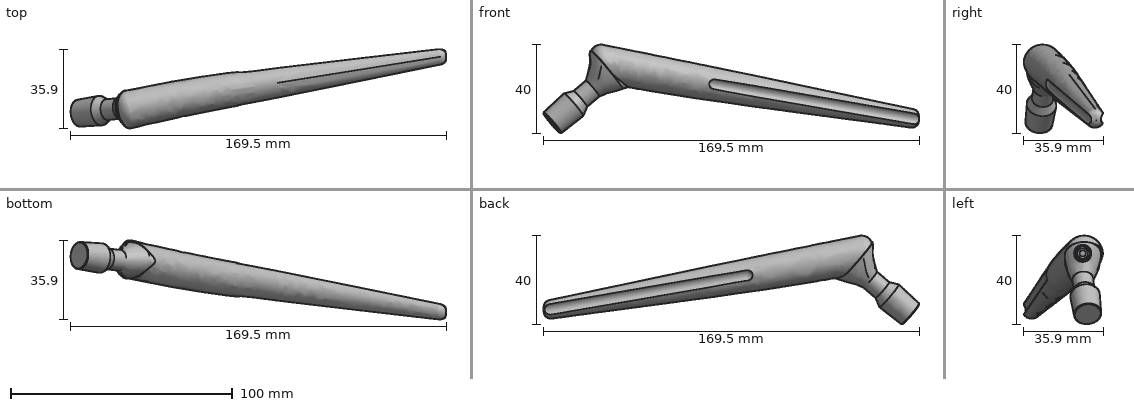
import cadquery as cq
import math


SHOULDER_CENTRE = cq.Vector(-58.9, -9.4, 11.4)
SHOULDER_RADIUS = 8.6
BODY_CENTRE = cq.Vector(-40.0, -5.35, 7.9)
BODY_RADIUS = 8.35
WAIST_CENTRE = cq.Vector(-13.0, -0.5, 3.0)
WAIST_RADIUS = 7.75
COLLAR_CENTRE = cq.Vector(-1.3, 1.1, 1.0)
COLLAR_RADIUS = 7.4
SHAFT_CENTRE = cq.Vector(8.9, 2.75, -0.8)
SHAFT_RADIUS = 7.15
TIP_CENTRE = cq.Vector(84.77, 14.9, -13.9)
TIP_RADIUS = 4.2
TIP_ROUNDING = 3.4

X_DIRECTION = cq.Vector(1, 0, 0)
SHOULDER_NORMAL = cq.Vector(1.0, 0.2, -0.08).normalized()
WAIST_NORMAL = cq.Vector(1.0, 0.13, -0.07).normalized()

CAP_LENGTH = 4.9
CAP_ROUNDING = 4.8

NECK_ORIGIN = cq.Vector(-80.9, -11.0, -15.55)
NECK_AXIS = cq.Vector(0.760, 0.093, 0.649).normalized()
NECK_UP = NECK_AXIS.cross(cq.Vector(0, 1, 0)).normalized()
SPIGOT_END_RADIUS = 6.2
SPIGOT_BASE_RADIUS = 6.75
SPIGOT_CHAMFER = 0.35
SPIGOT_LENGTH = 12.9
NECK_START = 16.9
NECK_END = 24.2
NECK_RADIUS = 4.75

FLARE_SECTIONS = (
    (NECK_END, -NECK_RADIUS, 0.0, NECK_RADIUS, NECK_RADIUS, 0.0),
    (27.8, -5.9, 1.2, 7.2, 6.4, 0.2),
    (31.0, -7.5, 3.5, 10.6, 7.6, 0.7),
    (34.5, -9.0, 6.0, 13.6, 8.3, 1.0),
)
FLARE_END = FLARE_SECTIONS[-1][0]

TRIM_RADIUS = 4 * SHOULDER_RADIUS

GUSSET_SECTION = (38.5, -10.6, 2.0, 8.0, 3.5, 0.0)

HOLE_START = cq.Vector(-70.0, -8.7, 11.9)
HOLE_STEPS = (
    (3.9, -61.5),
    (3.2, -60.0),
    (2.4, -50.0),
    (1.4, -47.0),
)

GROOVE_START_X = -9.6
GROOVE_WIDTH = 4.8
GROOVE_DEPTH = 1.2
GROOVE_OVERRUN_X = 95.0


def circle(centre, radius, normal):
    return cq.Wire.makeCircle(radius, centre, normal)


def loft(wires, ruled):
    return cq.Workplane(obj=cq.Solid.makeLoft(wires, ruled))


def rod(radius, start, finish):
    along = finish - start
    return cq.Workplane(obj=cq.Solid.makeCylinder(radius, along.Length, start, along))


def make_cap():
    end_centre = SHOULDER_CENTRE - SHOULDER_NORMAL * CAP_LENGTH
    end_edge = cq.selectors.NearestToPointSelector(end_centre.toTuple())
    return rod(SHOULDER_RADIUS, end_centre, SHOULDER_CENTRE).edges(end_edge).fillet(CAP_ROUNDING)


def make_stem():
    shoulder = circle(SHOULDER_CENTRE, SHOULDER_RADIUS, SHOULDER_NORMAL)
    body = circle(BODY_CENTRE, BODY_RADIUS, SHOULDER_NORMAL)
    waist = circle(WAIST_CENTRE, WAIST_RADIUS, WAIST_NORMAL)
    collar = circle(COLLAR_CENTRE, COLLAR_RADIUS, X_DIRECTION)
    shaft = circle(SHAFT_CENTRE, SHAFT_RADIUS, X_DIRECTION)
    tip = circle(TIP_CENTRE, TIP_RADIUS, X_DIRECTION)

    stem = make_cap().union(loft([shoulder, body, waist], False))
    stem = stem.union(loft([waist, collar], True))
    stem = stem.union(loft([collar, shaft], True))
    return stem.union(loft([shaft, tip], True).faces(">X").edges().fillet(TIP_ROUNDING))


def make_neck():
    """Spigot, cone and neck as one turned piece."""
    profile = [
        (0, 0),
        (SPIGOT_END_RADIUS - SPIGOT_CHAMFER, 0),
        (SPIGOT_END_RADIUS, SPIGOT_CHAMFER),
        (SPIGOT_BASE_RADIUS, SPIGOT_LENGTH),
        (NECK_RADIUS, NECK_START),
        (NECK_RADIUS, NECK_END),
        (0, NECK_END),
    ]
    axial_plane = cq.Plane(NECK_ORIGIN, xDir=NECK_UP, normal=NECK_UP.cross(NECK_AXIS))
    return cq.Workplane(axial_plane).polyline(profile).close().revolve(360, (0, 0), (0, 1))


def egg_outline(length, bottom, widest, top, half_width, shift):
    """Two half ellipses that meet at the widest line."""
    centre = NECK_ORIGIN + NECK_AXIS * length + NECK_UP * widest - cq.Vector(0, shift, 0)

    def half_ellipse(height, start_angle):
        return cq.Edge.makeEllipse(
            height, half_width, centre, NECK_AXIS, NECK_UP, start_angle, start_angle + 180)

    return cq.Wire.assembleEdges([half_ellipse(top - widest, -90), half_ellipse(widest - bottom, 90)])


def make_flare():
    outlines = [egg_outline(*section) for section in FLARE_SECTIONS]
    gusset = loft([outlines[-1], egg_outline(*GUSSET_SECTION)], True)
    return loft(outlines, False).union(gusset)


def make_hole():
    hole = cq.Workplane()
    for radius, end_x in HOLE_STEPS:
        hole = hole.add(rod(radius, HOLE_START, cq.Vector(end_x, HOLE_START.y, HOLE_START.z)))
    return hole.combine()


def make_groove(side):
    """Ball-ended cutter that follows the taper of the stem on its +Y or -Y side."""
    half_width = GROOVE_WIDTH / 2
    tool_radius = (half_width**2 + GROOVE_DEPTH**2) / (2 * GROOVE_DEPTH)

    def tool_centre(centre, radius):
        rim = math.sqrt(radius**2 - half_width**2)
        return centre + cq.Vector(0, side * (rim - GROOVE_DEPTH + tool_radius), 0)

    upper = tool_centre(SHAFT_CENTRE, SHAFT_RADIUS)
    lower = tool_centre(TIP_CENTRE, TIP_RADIUS)
    step = (lower - upper) * (1 / (lower - upper).x)
    start = upper + step * (GROOVE_START_X + half_width - upper.x)
    finish = upper + step * (GROOVE_OVERRUN_X - upper.x)
    ball = cq.Workplane("XY").sphere(tool_radius).translate(start)
    return rod(tool_radius, start, finish).union(ball)


def make_part():
    trim = rod(TRIM_RADIUS, NECK_ORIGIN, NECK_ORIGIN + NECK_AXIS * FLARE_END)
    part = make_stem().cut(trim).union(make_flare()).union(make_neck())
    part = part.cut(make_hole())
    for side in (-1, 1):
        part = part.cut(make_groove(side))
    return part


result = make_part()